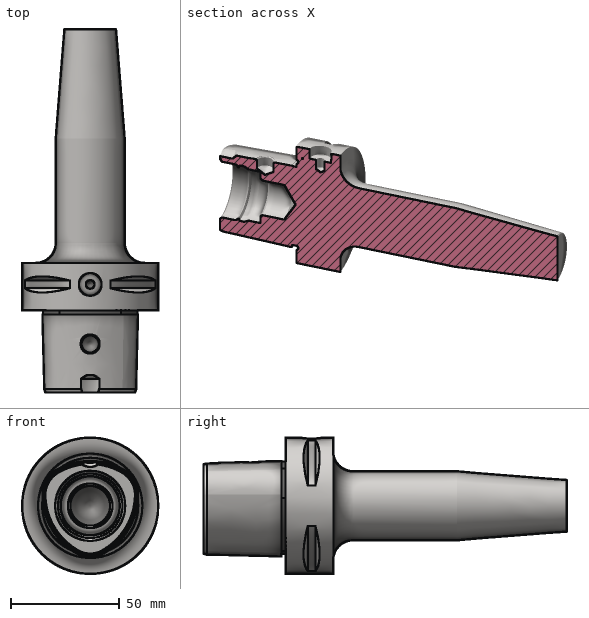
import cadquery as cq
import math


nose_end = 130.0
nose_tip_radius = 12.0
nose_tip_chamfer = 0.4
nose_half_angle = 4.5
body_radius = 16.0
body_fillet = 9.0
nose_length = (body_radius - nose_tip_radius) / math.tan(math.radians(nose_half_angle))

flange_radius = 31.5
flange_width = 22.0
groove_station = 12.0

groove_floor_distance = 27.85
groove_floor_width = 3.4
groove_wall_angle = 29.0
groove_angles = (45, 135, 225, 315)

pocket_diameter = 10.5
pocket_depth = 5.0
pilot_diameter = 4.0
pilot_depth = 5.0

shank_length = 38.0
shank_width = 44.25
lobe_offset = 10.3
lobe_radius = (shank_width - lobe_offset * math.sqrt(3)) / 2
flat_radius = shank_width - lobe_radius
taper_slope = 1 / 40
end_chamfer_length = 1.7
end_chamfer_inset = 0.6

neck_length = 2.0
neck_radius = 22.2
neck_inset = 0.2
face_groove_radius = 24.1
face_groove_depth = 0.9

mouth_radius = 16.2
mouth_chamfer = 1.0
entry_radius = 14.9
entry_depth = 8.0
lip_radius = 13.6
lip_depth = 9.3
clamp_groove_radius = 14.8
clamp_groove_start = 10.0
clamp_groove_end = 12.0
inner_radius = 13.7
inner_start = 14.3
inner_depth = 20.0
thread_radius = 9.2
thread_chamfer = 1.1
thread_depth = 32.0

side_hole_station = -15.5
side_hole_radius = 4.0
side_hole_rim_radius = 4.4
side_hole_rim_top = 20.0
side_hole_floor = 15.2

notch_radius = 6.0
notch_floor = 17.9
notch_length = 6.3
notch_end_length = 1.8

drill_half_angle = 59.0


def drill_tip(radius):
    """Length of the conical end left by a drill."""
    return radius / math.tan(math.radians(drill_half_angle))


def turned(profile):
    """Solid of revolution about Y from (radius, y) points."""
    return cq.Workplane("XY").polyline(profile).close().revolve(360, (0, 0, 0), (0, 1, 0))


def radial_drill(station, profile):
    """Solid of revolution about the +Z line at the given Y, from (radius, z) points."""
    tool = cq.Workplane("XZ").polyline(profile).close().revolve(360, (0, 0, 0), (0, 1, 0))
    return tool.translate((0, station, 0))


def turned_body():
    """Flange, fillet, straight body and tapered nose."""
    fillet_mid = body_fillet * (1 - math.sqrt(0.5))
    return (
        cq.Workplane("XY")
        .moveTo(0, 0)
        .lineTo(flange_radius, 0)
        .lineTo(flange_radius, flange_width)
        .lineTo(body_radius + body_fillet, flange_width)
        .threePointArc(
            (body_radius + fillet_mid, flange_width + fillet_mid),
            (body_radius, flange_width + body_fillet),
        )
        .lineTo(body_radius, nose_end - nose_length)
        .lineTo(nose_tip_radius, nose_end - nose_tip_chamfer)
        .lineTo(nose_tip_radius - nose_tip_chamfer, nose_end)
        .lineTo(0, nose_end)
        .close()
        .revolve(360, (0, 0, 0), (0, 1, 0))
    )


def shank_outline(y, inset):
    """Three-lobed outline of six tangent arcs, moved inward by inset, at the given Y."""
    lobe = lobe_radius - inset
    flat = flat_radius - inset
    arc_pitch = 60
    turns = (-arc_pitch / 2, 0, arc_pitch / 2)

    def point(centre_angle, radius, angle):
        centre = math.radians(centre_angle)
        turn = math.radians(angle)
        x = lobe_offset * math.cos(centre) + radius * math.cos(turn)
        z = lobe_offset * math.sin(centre) + radius * math.sin(turn)
        return cq.Vector(x, y, z)

    edges = []
    for lobe_angle in (30, 150, 270):
        lobe_points = [point(lobe_angle, lobe, lobe_angle + turn) for turn in turns]
        flat_angle = lobe_angle + arc_pitch
        flat_points = [point(flat_angle + 180, flat, flat_angle + turn) for turn in turns]
        edges.append(cq.Edge.makeThreePointArc(*lobe_points))
        edges.append(cq.Edge.makeThreePointArc(*flat_points))
    return cq.Wire.assembleEdges(edges)


def shank():
    """Tapered shank with a steeper chamfer at its end."""
    chamfer_y = end_chamfer_length - shank_length
    chamfer_inset = (-chamfer_y - neck_length) * taper_slope
    start = shank_outline(-neck_length, 0)
    middle = shank_outline(chamfer_y, chamfer_inset)
    end = shank_outline(-shank_length, chamfer_inset + end_chamfer_inset)
    taper = cq.Solid.makeLoft([start, middle], True)
    chamfer = cq.Solid.makeLoft([middle, end], True)
    return cq.Workplane(obj=taper).union(cq.Workplane(obj=chamfer))


def neck():
    """Slightly inset continuation of the shank outline, with its lobes turned down."""
    outline = cq.Solid.makeLoft(
        [shank_outline(-neck_length, neck_inset), shank_outline(face_groove_depth, neck_inset)], True
    )
    limit = turned([
        (0, -neck_length),
        (neck_radius, -neck_length),
        (neck_radius, face_groove_depth),
        (0, face_groove_depth),
    ])
    return cq.Workplane(obj=outline).intersect(limit)


def face_groove():
    """Ring groove of arc section in the flange face around the neck."""
    middle = (neck_radius + face_groove_radius) / 2
    return (
        cq.Workplane("XY")
        .moveTo(neck_radius, 0)
        .threePointArc((middle, face_groove_depth), (face_groove_radius, 0))
        .close()
        .revolve(360, (0, 0, 0), (0, 1, 0))
    )


def bore():
    """Chamfered mouth, entry, lip, clamping groove, inner bore and drilled thread hole."""
    tool = turned([
        (0, 0),
        (mouth_radius, 0),
        (entry_radius, mouth_chamfer),
        (entry_radius, entry_depth),
        (lip_radius, lip_depth),
        (clamp_groove_radius, clamp_groove_start),
        (clamp_groove_radius, clamp_groove_end),
        (inner_radius, inner_start),
        (inner_radius, inner_depth),
        (thread_radius + thread_chamfer, inner_depth),
        (thread_radius, inner_depth + thread_chamfer),
        (thread_radius, thread_depth),
        (0, thread_depth + drill_tip(thread_radius)),
    ])
    return tool.translate((0, -shank_length, 0))


def gripper_groove(angle):
    """Straight groove with sloping walls, cut across the flange rim at one angle."""
    depth = flange_radius - groove_floor_distance
    floor_half = groove_floor_width / 2
    rim_half = floor_half + depth * math.tan(math.radians(groove_wall_angle))
    section = [
        (groove_floor_distance, groove_station - floor_half),
        (flange_radius, groove_station - rim_half),
        (flange_radius, groove_station + rim_half),
        (groove_floor_distance, groove_station + floor_half),
    ]
    groove = cq.Workplane("XY").polyline(section).close().extrude(flange_radius, both=True)
    return groove.rotate((0, 0, 0), (0, 1, 0), angle)


def flange_pocket():
    """Flat pocket with a small drilled hole in its floor."""
    pocket_floor = flange_radius - pocket_depth
    pilot_floor = pocket_floor - pilot_depth
    pilot_radius = pilot_diameter / 2
    return radial_drill(groove_station, [
        (0, flange_radius),
        (pocket_diameter / 2, flange_radius),
        (pocket_diameter / 2, pocket_floor),
        (pilot_radius, pocket_floor),
        (pilot_radius, pilot_floor),
        (0, pilot_floor - drill_tip(pilot_radius)),
    ])


def side_hole():
    """Blind drilled hole in the flat top side of the shank, with a chamfered rim."""
    rim_bottom = side_hole_rim_top - (side_hole_rim_radius - side_hole_radius)
    return radial_drill(side_hole_station, [
        (0, flange_radius),
        (side_hole_rim_radius, flange_radius),
        (side_hole_rim_radius, side_hole_rim_top),
        (side_hole_radius, rim_bottom),
        (side_hole_radius, side_hole_floor),
        (0, side_hole_floor - drill_tip(side_hole_radius)),
    ])


def notch():
    """Round-bottomed notch along Y with a conical inner end."""
    notch_y = notch_length - shank_length
    tool = turned([
        (0, -shank_length),
        (notch_radius, -shank_length),
        (notch_radius, notch_y),
        (notch_radius - notch_end_length, notch_y + notch_end_length),
        (0, notch_y + notch_end_length),
    ])
    return tool.translate((0, 0, notch_floor + notch_radius))


result = turned_body().cut(face_groove()).union(neck()).union(shank())
result = result.cut(bore()).cut(flange_pocket()).cut(side_hole()).cut(notch())
for groove_angle in groove_angles:
    result = result.cut(gripper_groove(groove_angle))